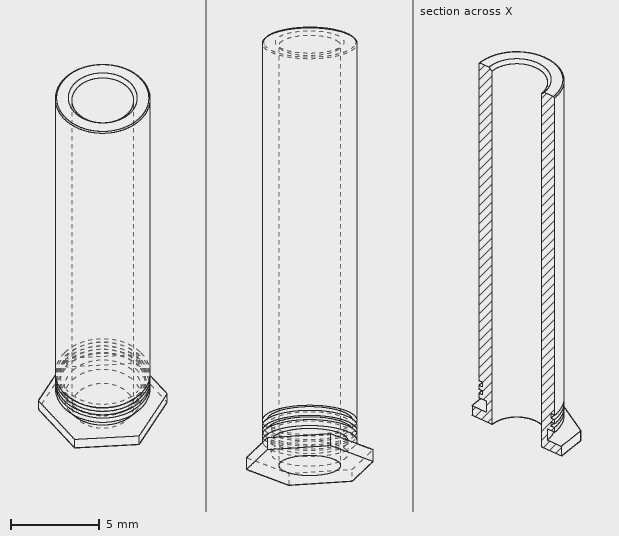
import cadquery as cq
import math

total_height = 25.4
hex_across_flats = 6.35
hex_height = 0.7

body_diameter = 5.38
groove_diameter = 4.88
neck_diameter = 4.37
bore_diameter = 3.5
countersink_diameter = 3.9

neck_top = 1.47
groove_spans = [(1.83, 2.08), (2.4, 2.7)]

rim_chamfer = 0.08
countersink_depth = (countersink_diameter - bore_diameter) / 2


def cylinder(diameter, bottom, top):
    """Solid cylinder on the Z axis between two heights."""
    return cq.Workplane("XY").workplane(offset=bottom).circle(diameter / 2).extrude(top - bottom)


def hex_head():
    """Hexagonal plate with corners on the X axis."""
    across_corners = hex_across_flats / math.cos(math.radians(30))
    return cq.Workplane("XY").polygon(6, across_corners).extrude(hex_height)


def barrel():
    """Long cylindrical body with a chamfered rim and ring grooves near the head."""
    body = cylinder(body_diameter, neck_top, total_height)
    body = body.faces(">Z").edges().chamfer(rim_chamfer)
    for bottom, top in groove_spans:
        ring = cylinder(body_diameter, bottom, top).cut(cylinder(groove_diameter, bottom, top))
        body = body.cut(ring)
    return body


neck = cylinder(neck_diameter, hex_height, neck_top)
bore = cylinder(bore_diameter, 0, total_height)

result = hex_head().union(neck).union(barrel()).cut(bore)
result = result.faces(">Z").edges(cq.selectors.RadiusNthSelector(0)).chamfer(countersink_depth)